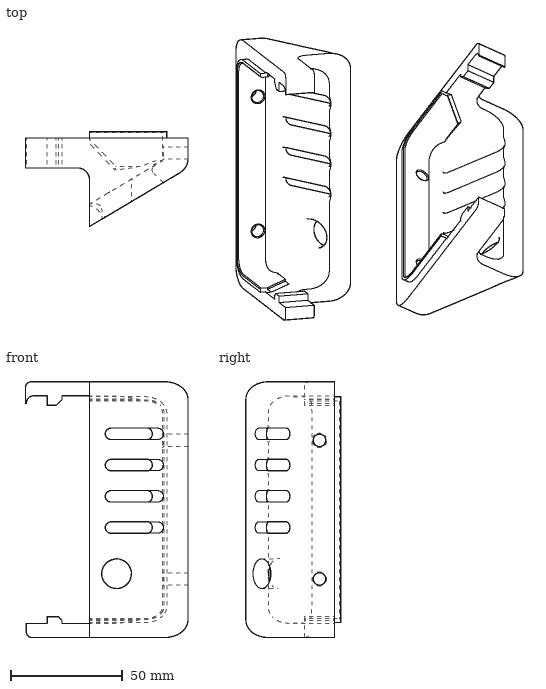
import cadquery as cq
import math


LENGTH = 72.7
HEIGHT = 114.5
DEPTH = 39.7
MID_Z = HEIGHT / 2

STRETCH = 4 / 3

HOOD_LEFT = 28.6
HOOD_EDGE_RADIUS = 7.9
END_WALL_DEPTH = 13.5
HOOD_TRIM_MARGIN = 10.3

WALL = 6.4
SLANT_WALL = 10.1
CAVITY_RIGHT = 63.2
CAVITY_EDGE_RADIUS = 7.3

VENT_COUNT = 4
VENT_PITCH = 14.0
VENT_HEIGHT = 5.0
VENT_LEFT = 35.7
VENT_RIGHT = 61.7
LOWEST_VENT_Z = 49.3
CABLE_HOLE_DIAMETER = 13.3
CABLE_HOLE_X = 40.8
CABLE_HOLE_Z = 28.6
OPENING_ROUND = 2.7

ARM_DEPTH = END_WALL_DEPTH
ARM_TIP_RADIUS = 2.6
ARM_ROOT_RADIUS = 5.4
LOWER_ARM_LEFT = 0.3
LIP_THICKNESS = 0.5
LIP_DROP = 3.3
LIP_RADIUS = 3.2
CATCH_LEFT = 9.7
CATCH_RIGHT = 16.4
UPPER_CATCH_DROP = 4.2
UPPER_CATCH_CHAMFER = 2.6
LOWER_CATCH_RISE = 3.0
LOWER_CATCH_CHAMFER = 1.6

RIM_GAP = 0.3
RIM_THICKNESS = 1.8
RIM_HEIGHT = 2.7
RIM_CHAMFER = 0.5
SEAT_SIDE_DEPTH = 0.6
SEAT_FRONT_DEPTH = 13.0
SEAT_FRONT_LEFT = 40.5
SEAT_FOOT = 1.4

SCREW_DIAMETER = 5.5
SCREW_SINK_DIAMETER = 6.4
SCREW_SINK_DEPTH = 0.5
SCREW_Y = -6.8
SCREW_SPACING = 62.0

SLOPE = (DEPTH - END_WALL_DEPTH) / (LENGTH - HOOD_LEFT) * STRETCH
SLANT_COS = 1 / math.hypot(1, SLOPE)
SLANT_SIN = SLOPE * SLANT_COS


def narrow(x):
    return x / STRETCH


def stretched(body):
    matrix = cq.Matrix([[STRETCH, 0, 0, 0], [0, 1, 0, 0], [0, 0, 1, 0]])
    return cq.Workplane(body.val().transformGeometry(matrix))


def slant_y(x, inset=0.0):
    """Y of the slanted wall at narrowed x, on the outer face or inset from it along Y."""
    return inset - DEPTH + SLOPE * (x - narrow(HOOD_LEFT))


def prism(outline, bottom, top):
    """Upright prism on a plan outline."""
    return cq.Workplane("XY").workplane(offset=bottom).polyline(outline).close().extrude(top - bottom)


def hood_block():
    """Solid hood with all its outer edges rounded, longer than needed on the left."""
    left = narrow(HOOD_LEFT) - HOOD_TRIM_MARGIN
    right = narrow(LENGTH)
    outline = [(left, 0), (left, slant_y(left)), (right, -END_WALL_DEPTH), (right, 0)]
    block = prism(outline, 0, HEIGHT)
    block = block.edges(cq.selectors.NearestToPointSelector((right, -END_WALL_DEPTH, MID_Z)))
    block = block.fillet(HOOD_EDGE_RADIUS)
    return block.faces(">X").edges("<Z or >Z").fillet(HOOD_EDGE_RADIUS)


def cavity_block(left):
    """Space inside the hood, from a narrowed left x to the end wall."""
    right = narrow(CAVITY_RIGHT)
    outline = [
        (left, 0),
        (left, slant_y(left, SLANT_WALL)),
        (right, slant_y(right, SLANT_WALL)),
        (right, 0),
    ]
    block = prism(outline, WALL, HEIGHT - WALL)
    middle = (left + right) / 2
    for z in (WALL, HEIGHT - WALL):
        edge = cq.selectors.NearestToPointSelector((middle, slant_y(middle, SLANT_WALL), z))
        block = block.edges(edge).fillet(CAVITY_EDGE_RADIUS)
    return block


def vent_cutter():
    """Slots that run square to the slanted wall of the narrowed hood."""
    middle = narrow(VENT_LEFT + VENT_RIGHT) / 2
    length = narrow(VENT_RIGHT - VENT_LEFT) / SLANT_COS
    plane = cq.Plane(
        origin=(middle, slant_y(middle), LOWEST_VENT_Z),
        xDir=(SLANT_COS, SLANT_SIN, 0),
        normal=(-SLANT_SIN, SLANT_COS, 0),
    )
    vent = cq.Workplane(plane).slot2D(length, VENT_HEIGHT).extrude(SLANT_WALL, both=True)
    vents = vent
    for row in range(1, VENT_COUNT):
        vents = vents.union(vent.translate((0, 0, row * VENT_PITCH)))
    return vents


def cable_hole_cutter():
    """Hole along Y that becomes circular once stretched."""
    radius = CABLE_HOLE_DIAMETER / 2
    plane = cq.Workplane("XZ").center(narrow(CABLE_HOLE_X), CABLE_HOLE_Z)
    return plane.ellipse(narrow(radius), radius).extrude(DEPTH)


def hood():
    left = narrow(HOOD_LEFT) - HOOD_TRIM_MARGIN
    body = hood_block().cut(cavity_block(left))
    body = body.cut(vent_cutter()).cut(cable_hole_cutter())

    inner_face = cq.selectors.DirectionSelector(cq.Vector(-SLANT_SIN, SLANT_COS, 0))
    rims = body.faces(inner_face).val().innerWires()
    body = body.newObject([edge for rim in rims for edge in rim.Edges()]).fillet(OPENING_ROUND)

    trim = cq.Workplane("XY").box(HOOD_TRIM_MARGIN, 2 * HEIGHT, HEIGHT, centered=(False, True, False))
    return stretched(body.cut(trim.translate((left, 0, 0))))


def arm(profile):
    """Arm extruded from its XZ profile."""
    return profile.close().extrude(ARM_DEPTH)


def upper_arm():
    under = HEIGHT - WALL
    catch = under - UPPER_CATCH_DROP
    profile = (
        cq.Workplane("XZ")
        .moveTo(HOOD_LEFT, HEIGHT)
        .lineTo(ARM_TIP_RADIUS, HEIGHT)
        .radiusArc((0, HEIGHT - ARM_TIP_RADIUS), -ARM_TIP_RADIUS)
        .lineTo(0, under - LIP_DROP)
        .lineTo(LIP_THICKNESS, under - LIP_DROP)
        .lineTo(LIP_THICKNESS, under - LIP_RADIUS)
        .radiusArc((LIP_THICKNESS + LIP_RADIUS, under), LIP_RADIUS)
        .lineTo(CATCH_LEFT, under)
        .lineTo(CATCH_LEFT, catch)
        .lineTo(CATCH_RIGHT - UPPER_CATCH_CHAMFER, catch)
        .lineTo(CATCH_RIGHT, catch + UPPER_CATCH_CHAMFER)
        .lineTo(CATCH_RIGHT, under)
        .lineTo(HOOD_LEFT, under)
    )
    return arm(profile)


def lower_arm():
    catch = WALL + LOWER_CATCH_RISE
    profile = (
        cq.Workplane("XZ")
        .moveTo(HOOD_LEFT, 0)
        .lineTo(LOWER_ARM_LEFT + ARM_TIP_RADIUS, 0)
        .radiusArc((LOWER_ARM_LEFT, ARM_TIP_RADIUS), ARM_TIP_RADIUS)
        .lineTo(LOWER_ARM_LEFT, WALL)
        .lineTo(CATCH_LEFT, WALL)
        .lineTo(CATCH_LEFT, catch)
        .lineTo(CATCH_RIGHT - LOWER_CATCH_CHAMFER, catch)
        .lineTo(CATCH_RIGHT, catch - LOWER_CATCH_CHAMFER)
        .lineTo(CATCH_RIGHT, WALL)
        .lineTo(HOOD_LEFT, WALL)
    )
    return arm(profile)


def arm_root(bottom):
    """Concave round where the front of an arm meets the left face of the hood."""
    return (
        cq.Workplane("XY")
        .workplane(offset=bottom)
        .moveTo(HOOD_LEFT - ARM_ROOT_RADIUS, -ARM_DEPTH)
        .radiusArc((HOOD_LEFT, -ARM_DEPTH - ARM_ROOT_RADIUS), ARM_ROOT_RADIUS)
        .lineTo(HOOD_LEFT, -ARM_DEPTH)
        .close()
        .extrude(WALL)
    )


def rim_block(inset, front, back):
    """Block with round right corners, inset from the floor, ceiling and end of the narrowed rim."""
    left = narrow(HOOD_LEFT)
    right = narrow(CAVITY_RIGHT - inset)
    bottom = WALL + RIM_GAP + inset
    block = cq.Workplane("XY").box(right - left, back - front, HEIGHT - 2 * bottom, centered=False)
    block = block.translate((left, front, bottom))
    return block.edges("|Y and >X").fillet(CAVITY_EDGE_RADIUS - inset)


def rim_opening():
    """Space inside the seat and rim, widened at the back by the rim's chamfer."""
    opening = rim_block(RIM_THICKNESS, -DEPTH, RIM_HEIGHT - RIM_CHAMFER)
    back_face = opening.faces(">Y")
    return back_face.workplane().add(back_face.wires()).toPending().extrude(RIM_CHAMFER, taper=-45)


def seat_and_rim():
    outline = [
        (HOOD_LEFT, 0),
        (HOOD_LEFT, -SEAT_SIDE_DEPTH),
        (SEAT_FRONT_LEFT, -SEAT_FRONT_DEPTH),
        (LENGTH, -SEAT_FRONT_DEPTH),
        (LENGTH, 0),
    ]
    seat = prism(outline, WALL, HEIGHT - WALL)
    foot = (
        cq.Workplane("XY")
        .workplane(offset=WALL)
        .polyline(outline)
        .close()
        .offset2D(SEAT_FOOT, "intersection")
        .extrude(SEAT_FOOT, taper=45)
    )
    seat = seat.union(foot).union(foot.mirror("XY", (0, 0, MID_Z)))
    seat = seat.intersect(stretched(cavity_block(narrow(HOOD_LEFT))))
    rim = stretched(rim_block(0, 0, RIM_HEIGHT))
    return seat.union(rim).cut(stretched(rim_opening()))


def screw_cutter(z):
    """Hole along X through the end wall, lightly countersunk on its inner face."""
    inner_face = CAVITY_RIGHT - RIM_THICKNESS
    start = cq.Workplane("YZ", origin=(inner_face, SCREW_Y, z))
    hole = start.circle(SCREW_DIAMETER / 2).extrude(LENGTH - inner_face)
    sink = (
        start.circle(SCREW_SINK_DIAMETER / 2)
        .workplane(offset=SCREW_SINK_DEPTH)
        .circle(SCREW_DIAMETER / 2)
        .loft()
    )
    return hole.union(sink)


result = hood().union(upper_arm()).union(lower_arm())
for root_bottom in (0, HEIGHT - WALL):
    result = result.union(arm_root(root_bottom))
result = result.union(seat_and_rim())
for side in (-1, 1):
    result = result.cut(screw_cutter(MID_Z + side * SCREW_SPACING / 2))